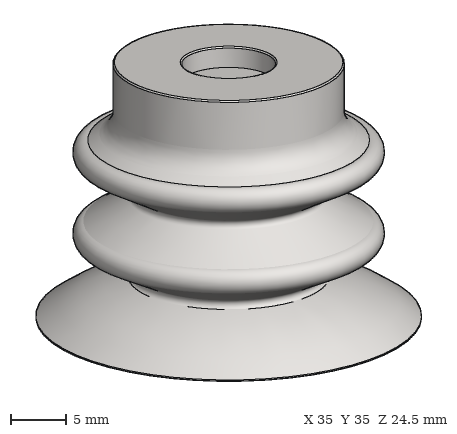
import cadquery as cq
import math

total_height = 24.5
neck_radius = 10.5
skirt_radius = 17.5
rim_thickness = 0.15

neck_bottom_z = 19.78
flare_radius = 2.5
flare_angle = math.radians(59)

bead_radius = 1.2
bead_center_radius = 12.95
bead_heights = (15.85, 8.05)
bead_top_radii = (12.78, 13.15)
groove_radius = 0.5
groove_floor_radius = 8.9
groove_heights = (12.05, 4.38)
wall_angle = math.radians(30)

skirt_mid_radius = 14.05
skirt_mid_z = 2.25

bore_diameter = 8.5
bore_depth = 2.0
edge_chamfer = 0.15


def add_bead(outline, center_z, top_radius):
    """Go down round a bead, from the wall above to where the wall below leaves it almost smoothly."""
    top_rise = math.sqrt(bead_radius**2 - (top_radius - bead_center_radius) ** 2)
    bottom_radius = bead_center_radius + bead_radius * math.sin(wall_angle)
    bottom_drop = bead_radius * math.cos(wall_angle)
    return outline.lineTo(top_radius, center_z + top_rise).threePointArc(
        (bead_center_radius + bead_radius, center_z),
        (bottom_radius, center_z - bottom_drop),
    )


def add_groove(outline, center_z):
    """Go down round the inside of a groove that runs on almost smoothly from the wall above."""
    end_radius = groove_floor_radius + groove_radius * (1 - math.sin(wall_angle))
    half_height = groove_radius * math.cos(wall_angle)
    return outline.lineTo(end_radius, center_z + half_height).threePointArc(
        (groove_floor_radius, center_z),
        (end_radius, center_z - half_height),
    )


def flare_point(angle):
    """Point on the concave flare, turned by an angle from the neck wall."""
    return (
        neck_radius + flare_radius * (1 - math.cos(angle)),
        neck_bottom_z - flare_radius * math.sin(angle),
    )


outline = (
    cq.Workplane("XZ")
    .moveTo(0, total_height)
    .lineTo(neck_radius, total_height)
    .lineTo(neck_radius, neck_bottom_z)
    .threePointArc(flare_point(flare_angle / 2), flare_point(flare_angle))
)
for bead_z, bead_top_radius, groove_z in zip(bead_heights, bead_top_radii, groove_heights):
    outline = add_bead(outline, bead_z, bead_top_radius)
    outline = add_groove(outline, groove_z)
outline = (
    outline.threePointArc((skirt_mid_radius, skirt_mid_z), (skirt_radius, rim_thickness))
    .lineTo(skirt_radius, 0)
    .lineTo(0, 0)
    .close()
)
body = outline.revolve(360, (0, 0, 0), (0, 1, 0))

body = body.faces(">Z").workplane().hole(bore_diameter, bore_depth)
result = body.faces(">Z").edges().chamfer(edge_chamfer)